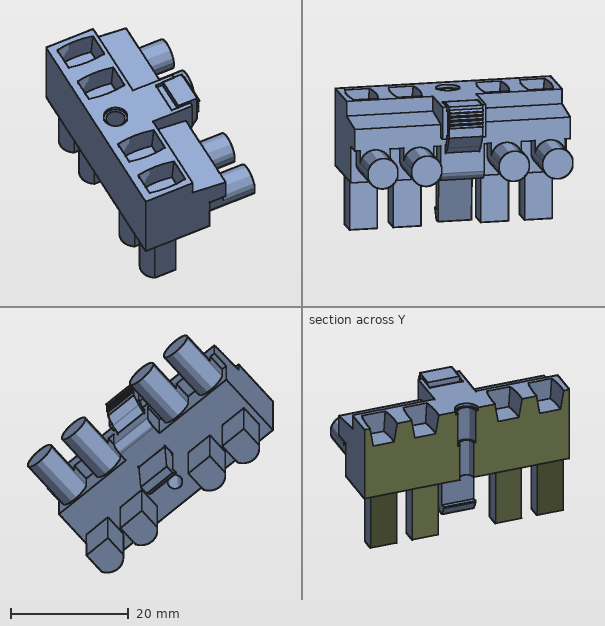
import cadquery as cq
import math


POLE_PITCH = 7.6
POLE_XS = [step * POLE_PITCH for step in (-2, -1, 1, 2)]

HOUSING_WIDTH = 37.48
HOUSING_DEPTH = 15.2
HOUSING_HEIGHT = 13.5
STEP_Y = 8.95
STEP_FRONT_Z = 10.9
STEP_REAR_Z = 10.15
UNDERCUT_Y = 12.15

BRIDGE_WIDTH = 7.55
BRIDGE_REAR_Y = 16.45
BRIDGE_BOTTOM_Z = 7.87
BRIDGE_CORNER_RADIUS = 1.57

SLEEVE_DIAMETER = 5.32
SLEEVE_WIDTH = 5.2
SLEEVE_TOP_Z = 6.37
SLEEVE_END_Y = 21.25
SLEEVE_Z = SLEEVE_TOP_Z - SLEEVE_DIAMETER / 2

POCKET_Y = 4.85
POCKET_LENGTH = 6.8
POCKET_END_WIDTH = 4.27
POCKET_MIDDLE_WIDTH = 5.02
POCKET_DEPTH = 3.5
POCKET_INSET = 0.6

SCREW_Y = 3.75
SCREW_RIM_DIAMETER = 4.05
SCREW_RIM_DEPTH = 0.55
SCREW_HEAD_DIAMETER = 3.2
SCREW_HEAD_DEPTH = HOUSING_HEIGHT / 2
SCREW_HOLE_DIAMETER = 2.5

LATCH_WIDTH = 5.8
LATCH_SLOT_WIDTH = 6.05
LATCH_TOP_Z = 13.83
LATCH_SEAT_Z = 12.78
LATCH_RECESS_Y = 12.9
LATCH_HEAD_Y = 14.2
ARM_REAR_Y = 17.8
ARM_FRONT_Y = 16.55
ARM_REAR_BEND_Z = 8.35
ARM_FRONT_BEND_Z = 8.62
ARM_SLOPE = 0.63
LEG_REAR_Y = 9.75
LEG_TIP_REAR_Y = 9.25
LEG_FRONT_Y = 7.72
LEG_FRONT_TOP_Z = -0.1
LEG_BOTTOM_Z = -8.47
HOOK_Y = 6.75
HOOK_TOP_Z = -6.52
HOOK_ROOT_Z = -6.65
HOOK_NOSE_Z = -6.8

LARGE_TOOTH_Z = 12.85
LARGE_TOOTH_REACH = 0.5
LARGE_TOOTH_HEIGHT = 0.4
SMALL_TOOTH_TOP_Z = 12.2
SMALL_TOOTH_PITCH = 0.7
SMALL_TOOTH_COUNT = 4
SMALL_TOOTH_REACH = 0.3
SMALL_TOOTH_HEIGHT = 0.37

PIN_WIDTH = 4.85
PIN_BACK_Y = 6.3
PIN_SIDE_END_Y = 2.32
PIN_FRONT_Y = 0.95
PIN_LENGTH = 9.82


def extrude_across(outline, width):
    """Extrude a closed (y, z) outline symmetrically along X."""
    return cq.Workplane("YZ").polyline(outline).close().extrude(width / 2, both=True)


def block(width, y_range, z_range):
    """A box centred on X = 0 that spans the given Y and Z ranges."""
    depth = y_range[1] - y_range[0]
    height = z_range[1] - z_range[0]
    corner = (-width / 2, y_range[0], z_range[0])
    return cq.Workplane("XY").box(width, depth, height, centered=False).translate(corner)


def housing_body():
    """Full-width body with a sloped, lowered rear roof and an undercut below it."""
    return extrude_across(
        [
            (0, 0),
            (UNDERCUT_Y, 0),
            (UNDERCUT_Y, SLEEVE_TOP_Z),
            (HOUSING_DEPTH, SLEEVE_TOP_Z),
            (HOUSING_DEPTH, STEP_REAR_Z),
            (STEP_Y, STEP_FRONT_Z),
            (STEP_Y, HOUSING_HEIGHT),
            (0, HOUSING_HEIGHT),
        ],
        HOUSING_WIDTH,
    )


def bridge():
    """Central block: full-height roof at the top and a rounded heel in the undercut."""
    roof = block(BRIDGE_WIDTH, (STEP_Y, BRIDGE_REAR_Y), (BRIDGE_BOTTOM_Z, HOUSING_HEIGHT))
    heel = block(BRIDGE_WIDTH, (UNDERCUT_Y, HOUSING_DEPTH), (0, SLEEVE_TOP_Z))
    heel = heel.edges(">Y and <Z").fillet(BRIDGE_CORNER_RADIUS)
    return roof.union(heel)


def sleeve(x):
    """Round sleeve with side flats, and the square-topped root that joins it to the housing."""
    length = SLEEVE_END_Y - UNDERCUT_Y
    tube = cq.Workplane("XZ").circle(SLEEVE_DIAMETER / 2).extrude(-length)
    tube = tube.intersect(cq.Workplane("XZ").rect(SLEEVE_WIDTH, SLEEVE_DIAMETER).extrude(-length))
    tube = tube.translate((0, UNDERCUT_Y, SLEEVE_Z))
    root = block(SLEEVE_WIDTH, (UNDERCUT_Y, HOUSING_DEPTH), (SLEEVE_Z, SLEEVE_TOP_Z))
    return tube.union(root).translate((x, 0, 0))


def contact_pocket(x):
    """Pocket with bowed sides, narrowing towards its floor."""
    half_end = POCKET_END_WIDTH / 2
    half_middle = POCKET_MIDDLE_WIDTH / 2
    half_length = POCKET_LENGTH / 2
    taper = math.degrees(math.atan(POCKET_INSET / POCKET_DEPTH))
    return (
        cq.Workplane("XY", origin=(x, POCKET_Y, HOUSING_HEIGHT))
        .moveTo(-half_end, -half_length)
        .lineTo(half_end, -half_length)
        .threePointArc((half_middle, 0), (half_end, half_length))
        .lineTo(-half_end, half_length)
        .threePointArc((-half_middle, 0), (-half_end, -half_length))
        .close()
        .extrude(-POCKET_DEPTH, taper=taper)
    )


def screw_hole():
    """Through hole with a head bore and a wider shallow rim."""
    top = cq.Workplane("XY", origin=(0, SCREW_Y, HOUSING_HEIGHT))
    hole = top.circle(SCREW_HOLE_DIAMETER / 2).extrude(-HOUSING_HEIGHT)
    head = top.circle(SCREW_HEAD_DIAMETER / 2).extrude(-SCREW_HEAD_DEPTH)
    rim = top.circle(SCREW_RIM_DIAMETER / 2).extrude(-SCREW_RIM_DEPTH)
    return hole.union(head).union(rim)


def latch_lever(width):
    """Latch without teeth: head, upright arm, sloped link through the housing and hooked leg."""
    rear_knee_y = ARM_REAR_Y - ARM_SLOPE * (ARM_REAR_BEND_Z - SLEEVE_TOP_Z)
    front_knee_y = ARM_FRONT_Y - ARM_SLOPE * (ARM_FRONT_BEND_Z - SLEEVE_TOP_Z)
    return extrude_across(
        [
            (LATCH_HEAD_Y, LATCH_TOP_Z),
            (ARM_REAR_Y, LATCH_TOP_Z),
            (ARM_REAR_Y, ARM_REAR_BEND_Z),
            (rear_knee_y, SLEEVE_TOP_Z),
            (LEG_REAR_Y, 0),
            (LEG_TIP_REAR_Y, LEG_BOTTOM_Z),
            (LEG_FRONT_Y, LEG_BOTTOM_Z),
            (HOOK_Y, HOOK_NOSE_Z),
            (HOOK_Y, HOOK_TOP_Z),
            (LEG_FRONT_Y, HOOK_ROOT_Z),
            (LEG_FRONT_Y, LEG_FRONT_TOP_Z),
            (front_knee_y, SLEEVE_TOP_Z),
            (ARM_FRONT_Y, ARM_FRONT_BEND_Z),
            (ARM_FRONT_Y, LATCH_SEAT_Z),
            (LATCH_HEAD_Y, LATCH_SEAT_Z),
        ],
        width,
    )


def grip_tooth(bottom_z, reach, height):
    """Tooth on the rear of the latch arm, flat underneath and sloped on top."""
    return extrude_across(
        [
            (ARM_REAR_Y, bottom_z),
            (ARM_REAR_Y + reach, bottom_z),
            (ARM_REAR_Y, bottom_z + height),
        ],
        LATCH_WIDTH,
    )


def make_housing():
    """Housing with sleeves, contact pockets, screw hole, and the recess and slot for the latch."""
    housing = housing_body().union(bridge())
    for x in POLE_XS:
        housing = housing.union(sleeve(x)).cut(contact_pocket(x))
    recess = block(LATCH_SLOT_WIDTH, (LATCH_RECESS_Y, BRIDGE_REAR_Y), (LATCH_SEAT_Z, HOUSING_HEIGHT))
    return housing.cut(screw_hole()).cut(recess).cut(latch_lever(LATCH_SLOT_WIDTH))


def make_latch():
    """Latch lever with one large grip tooth above a row of small ones."""
    latch = latch_lever(LATCH_WIDTH)
    latch = latch.union(grip_tooth(LARGE_TOOTH_Z, LARGE_TOOTH_REACH, LARGE_TOOTH_HEIGHT))
    for row in range(SMALL_TOOTH_COUNT):
        bottom_z = SMALL_TOOTH_TOP_Z - row * SMALL_TOOTH_PITCH
        latch = latch.union(grip_tooth(bottom_z, SMALL_TOOTH_REACH, SMALL_TOOTH_HEIGHT))
    return latch


def make_pin(x):
    """Plug pin below the housing: flat back and sides, rounded front."""
    half_width = PIN_WIDTH / 2
    return (
        cq.Workplane("XY", origin=(x, 0, 0))
        .moveTo(-half_width, PIN_BACK_Y)
        .lineTo(-half_width, PIN_SIDE_END_Y)
        .threePointArc((0, PIN_FRONT_Y), (half_width, PIN_SIDE_END_Y))
        .lineTo(half_width, PIN_BACK_Y)
        .close()
        .extrude(-PIN_LENGTH)
    )


housing = make_housing()
latch = make_latch()
pins = [make_pin(x) for x in POLE_XS]

result = cq.Compound.makeCompound([housing.val(), latch.val(), *[pin.val() for pin in pins]])